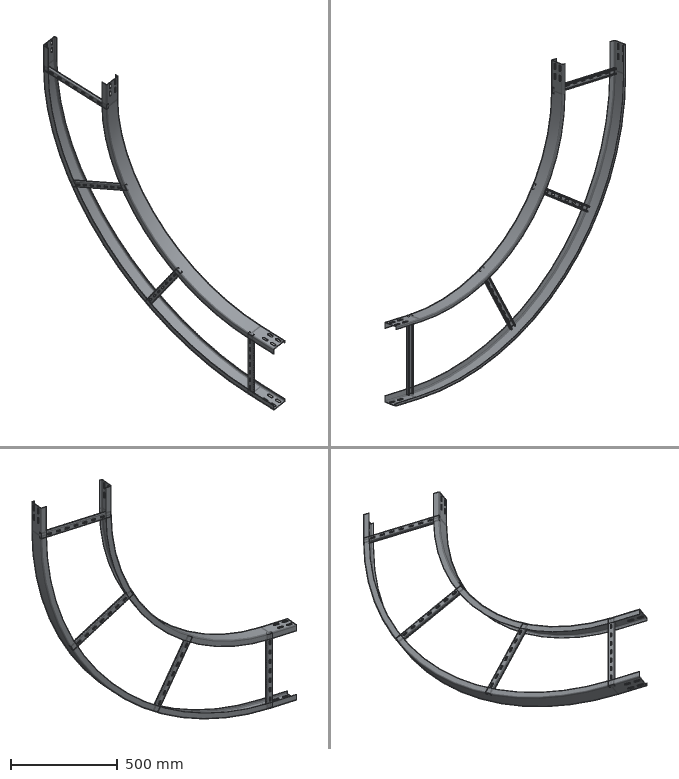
import cadquery as cq
import math

outer_size = 1450.0
straight_length = 150.0
tray_width = 400.0
outer_radius = outer_size - straight_length
inner_radius = outer_radius - tray_width
bend_x = outer_radius
bend_z = outer_radius
bend_angle = 90.0

rail_height = 80.0
rail_thickness = 1.5
rail_bend_radius = 4.0
front_flange = 31.0
back_flange = 15.0

slot_length = 30.0
slot_width = 10.0
slot_end_distances = (25.0, 75.0)
slot_heights = (25.0, 60.0)

rung_count = 4
rung_width = 30.0
rung_depth = 15.0
rung_thickness = 1.5
rung_lip = 6.0
rung_bend_radius = 2.0
rung_front = rail_thickness
rung_slot_count = 7
rung_slot_pitch = 50.0
rung_slot_length = 22.0
rung_slot_width = 7.0
rung_angles = [i * bend_angle / (rung_count - 1) for i in range(rung_count)]


def about_bend(shape, angle):
    """Turn a shape about the bend axis, from the -X direction towards -Z."""
    return shape.rotate((bend_x, 0, bend_z), (bend_x, 1, bend_z), -angle)


def rail_path(radius):
    """Line, quarter arc, line along the outer face of a rail web."""
    diagonal = radius * math.sqrt(0.5)
    return (
        cq.Workplane("XZ")
        .moveTo(bend_x - radius, outer_size)
        .lineTo(bend_x - radius, bend_z)
        .threePointArc((bend_x - diagonal, bend_z - diagonal), (bend_x, bend_z - radius))
        .lineTo(outer_size, bend_z - radius)
    )


def rail_section(web_x, side):
    """C section at the top end; side is the X direction in which the flanges point."""
    t = rail_thickness
    r = rail_bend_radius
    inside_r = r - t
    outer_mid = r * (1 - math.sqrt(0.5))
    inner_mid = r - inside_r * math.sqrt(0.5)
    h = rail_height

    def at(depth, y):
        return (web_x + side * depth, y)

    return (
        cq.Workplane("XY", origin=(0, 0, outer_size))
        .moveTo(*at(front_flange, 0))
        .lineTo(*at(r, 0))
        .threePointArc(at(outer_mid, outer_mid), at(0, r))
        .lineTo(*at(0, h - r))
        .threePointArc(at(outer_mid, h - outer_mid), at(r, h))
        .lineTo(*at(back_flange, h))
        .lineTo(*at(back_flange, h - t))
        .lineTo(*at(r, h - t))
        .threePointArc(at(inner_mid, h - inner_mid), at(t, h - r))
        .lineTo(*at(t, r))
        .threePointArc(at(inner_mid, inner_mid), at(r, t))
        .lineTo(*at(front_flange, t))
        .close()
    )


def end_slots(radius):
    """Slot cutters for the webs of both straight ends of one rail."""
    ends = [(y, outer_size - d) for y in slot_heights for d in slot_end_distances]
    top_end = (
        cq.Workplane("YZ", origin=(bend_x - radius, 0, 0))
        .pushPoints(ends)
        .slot2D(slot_length, slot_width, 90)
        .extrude(front_flange, both=True)
    )
    right_end = (
        cq.Workplane("XY", origin=(0, 0, bend_z - radius))
        .pushPoints([(x, y) for y, x in ends])
        .slot2D(slot_length, slot_width)
        .extrude(front_flange, both=True)
    )
    return [top_end, right_end]


def make_rail(radius, side):
    rail = rail_section(bend_x - radius, side).sweep(rail_path(radius), clean=False)
    for cutter in end_slots(radius):
        rail = rail.cut(cutter, clean=False)
    return rail


def make_rung(angle):
    """Slotted, lipped channel whose ends stop at the bends of the two rails."""
    length = tray_width - 2 * rail_bend_radius
    middle_x = bend_x - (outer_radius + inner_radius) / 2
    rung_face = cq.Workplane("XZ", origin=(middle_x, rung_front, bend_z))
    cavity_face = cq.Workplane("XZ", origin=(middle_x, rung_front + rung_thickness, bend_z))
    body = (
        rung_face.rect(length, rung_width)
        .extrude(-rung_depth)
        .edges("<Y and |X")
        .fillet(rung_bend_radius)
    )
    cavity = (
        cavity_face.rect(length, rung_width - 2 * rung_thickness)
        .extrude(2 * rung_thickness - rung_depth)
        .edges("<Y and |X")
        .fillet(rung_bend_radius - rung_thickness)
    )
    back_opening = cavity_face.rect(length, rung_width - 2 * rung_lip).extrude(-rung_depth)
    slots = (
        rung_face.rarray(rung_slot_pitch, 1, rung_slot_count, 1)
        .slot2D(rung_slot_length, rung_slot_width)
        .extrude(-rung_depth)
    )
    return about_bend(body.cut(cavity).cut(back_opening).cut(slots), angle)


outer_rail = make_rail(outer_radius, 1)
inner_rail = make_rail(inner_radius, -1)
rungs = [make_rung(angle) for angle in rung_angles]

result = cq.Compound.makeCompound(
    [outer_rail.val(), inner_rail.val(), *[rung.val() for rung in rungs]]
)